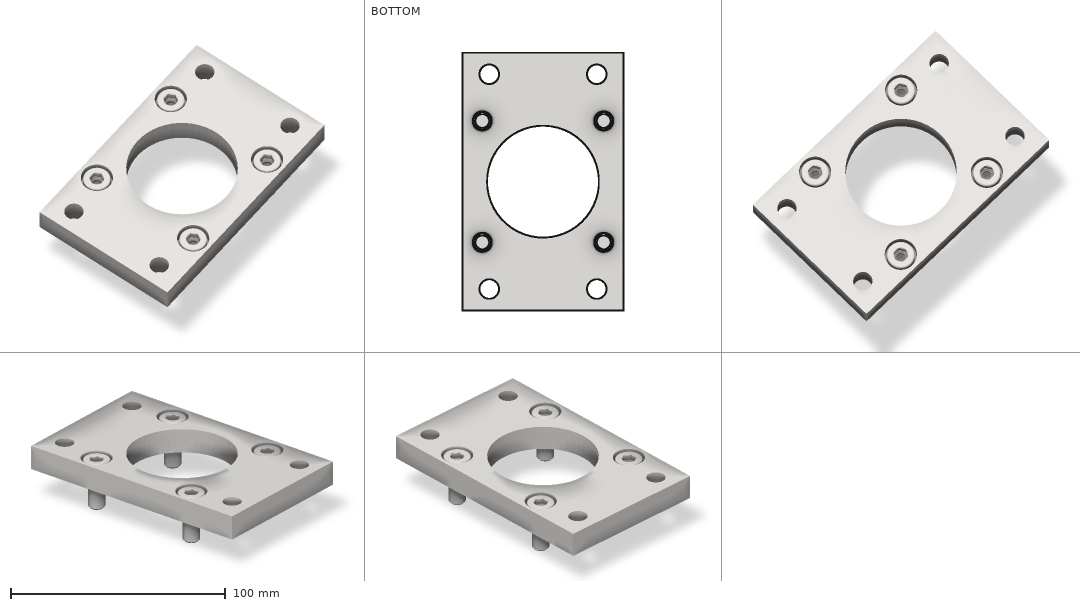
import cadquery as cq
import math

plate_width = 75.0
plate_length = 120.0
plate_thickness = 12.0
bore_diameter = 52.0

mount_hole_diameter = 9.0
mount_hole_spacing_x = 50.0
mount_hole_spacing_y = 100.0

screw_spacing = 56.5
clearance_diameter = 9.0
counterbore_diameter = 15.0
counterbore_depth = 5.5
counterbore_floor = plate_thickness - counterbore_depth

screw_protrusion = 13.5
shank_diameter = 8.0
tip_chamfer = 0.8
head_diameter = 13.0
head_height = 5.0
head_fillet = 0.8
head_top = counterbore_floor + head_height

socket_across_flats = 6.0
socket_across_corners = socket_across_flats / math.cos(math.pi / 6)
socket_depth = 3.0
pilot_diameter = 4.0
pilot_depth = 2.4


def make_plate():
    """Rectangular plate with a bore, four plain holes and four counterbored holes."""
    return (
        cq.Workplane("XY")
        .box(plate_width, plate_length, plate_thickness, centered=(True, True, False))
        .faces(">Z")
        .workplane(origin=(0, 0, plate_thickness))
        .tag("top")
        .hole(bore_diameter)
        .workplaneFromTagged("top")
        .rarray(mount_hole_spacing_x, mount_hole_spacing_y, 2, 2)
        .hole(mount_hole_diameter)
        .workplaneFromTagged("top")
        .rarray(screw_spacing, screw_spacing, 2, 2)
        .cboreHole(clearance_diameter, counterbore_diameter, counterbore_depth)
    )


def make_socket():
    """Hexagon with corners on the Y axis, a chamfered mouth, a conical floor and a pointed pilot hole."""
    corner_radius = socket_across_corners / 2
    flat_radius = socket_across_flats / 2
    pilot_radius = pilot_diameter / 2
    floor_edge = head_top - socket_depth
    pilot_bottom = floor_edge - pilot_depth

    hexagon = (
        cq.Workplane("XY")
        .workplane(offset=head_top)
        .transformed(rotate=(0, 0, 30))
        .polygon(6, socket_across_corners)
        .extrude(-socket_depth)
    )
    turned = (
        cq.Workplane("XZ")
        .moveTo(0, head_top)
        .lineTo(corner_radius, head_top)
        .lineTo(flat_radius, head_top - (corner_radius - flat_radius))
        .lineTo(flat_radius, floor_edge)
        .lineTo(pilot_radius, floor_edge - (flat_radius - pilot_radius))
        .lineTo(pilot_radius, pilot_bottom)
        .lineTo(0, pilot_bottom - pilot_radius)
        .close()
        .revolve(360, (0, 0, 0), (0, 1, 0))
    )
    return hexagon.union(turned)


def make_screw(x, y):
    """Socket screw on a vertical axis at (x, y)."""
    head = (
        cq.Workplane("XY")
        .workplane(offset=counterbore_floor)
        .circle(head_diameter / 2)
        .extrude(head_height)
        .faces(">Z")
        .edges()
        .fillet(head_fillet)
    )
    shank = (
        cq.Workplane("XY")
        .workplane(offset=-screw_protrusion)
        .circle(shank_diameter / 2)
        .extrude(screw_protrusion + counterbore_floor)
        .faces("<Z")
        .edges()
        .chamfer(tip_chamfer)
    )
    return head.union(shank).cut(make_socket()).translate((x, y, 0))


plate = make_plate()
screws = [
    make_screw(side_x * screw_spacing / 2, side_y * screw_spacing / 2)
    for side_x in (-1, 1)
    for side_y in (-1, 1)
]

result = cq.Compound.makeCompound([plate.val(), *[screw.val() for screw in screws]])